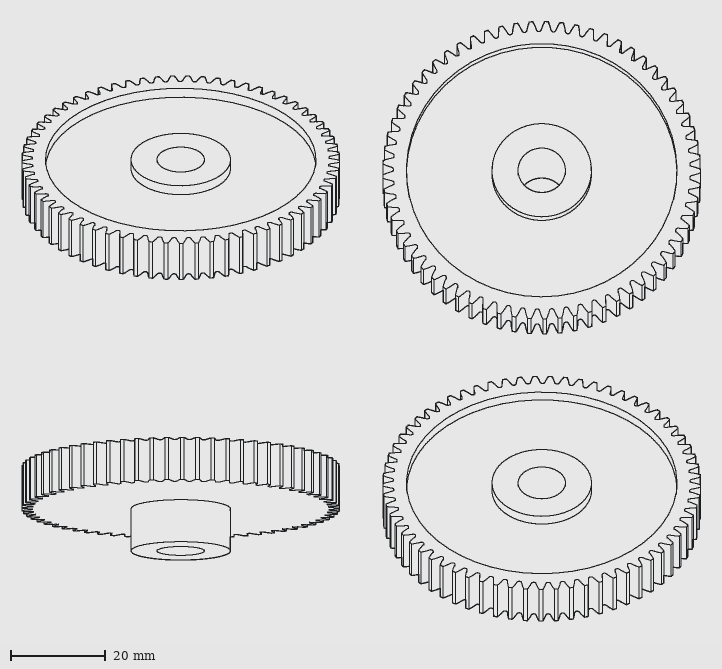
import cadquery as cq
import math

outer_diameter = 67.0
tooth_count = 65
pressure_angle = math.radians(20)
dedendum_factor = 1.25
root_round_factor = 0.38

gear_module = outer_diameter / (tooth_count + 2)
tip_radius = outer_diameter / 2
pitch_radius = tip_radius - gear_module
root_radius = pitch_radius - dedendum_factor * gear_module
flank_start_radius = root_radius + root_round_factor * gear_module
base_radius = pitch_radius * math.cos(pressure_angle)
tooth_pitch = 2 * math.pi / tooth_count

total_height = 18.0
gear_width = total_height / 2
hub_length = total_height - gear_width
hub_diameter = 21.0
bore_diameter = 10.0
recess_diameter = 57.0
recess_depth = 2.2


def involute(angle):
    return math.tan(angle) - angle


def half_tooth_angle(radius):
    """Half the angle that an involute tooth takes up at the given radius."""
    local_pressure_angle = math.acos(base_radius / radius)
    return tooth_pitch / 4 + involute(pressure_angle) - involute(local_pressure_angle)


def polar(radius, angle):
    return (radius * math.cos(angle), radius * math.sin(angle))


def toothed_disc():
    """Toothed blank with one tooth centred on -Y; each flank is an arc fitted to the involute."""
    flank_start = half_tooth_angle(flank_start_radius)
    flank_middle = half_tooth_angle(pitch_radius)
    flank_end = half_tooth_angle(tip_radius)
    first_tooth = -math.pi / 2

    outline = cq.Workplane("XY").moveTo(*polar(flank_start_radius, first_tooth - flank_start))
    for index in range(tooth_count):
        tooth = first_tooth + index * tooth_pitch
        outline = (
            outline
            .threePointArc(polar(pitch_radius, tooth - flank_middle), polar(tip_radius, tooth - flank_end))
            .threePointArc(polar(tip_radius, tooth), polar(tip_radius, tooth + flank_end))
            .threePointArc(
                polar(pitch_radius, tooth + flank_middle),
                polar(flank_start_radius, tooth + flank_start),
            )
            .threePointArc(
                polar(root_radius, tooth + tooth_pitch / 2),
                polar(flank_start_radius, tooth + tooth_pitch - flank_start),
            )
        )
    return outline.close().extrude(gear_width)


def recess():
    """Ring-shaped pocket in the top face, between the rim and the hub."""
    return (
        cq.Workplane("XY")
        .workplane(offset=gear_width - recess_depth)
        .circle(recess_diameter / 2)
        .circle(hub_diameter / 2)
        .extrude(recess_depth)
    )


def hub():
    return cq.Workplane("XY").circle(hub_diameter / 2).extrude(-hub_length)


def bore():
    return (
        cq.Workplane("XY")
        .workplane(offset=-hub_length)
        .circle(bore_diameter / 2)
        .extrude(total_height)
    )


result = toothed_disc().cut(recess()).union(hub()).cut(bore())